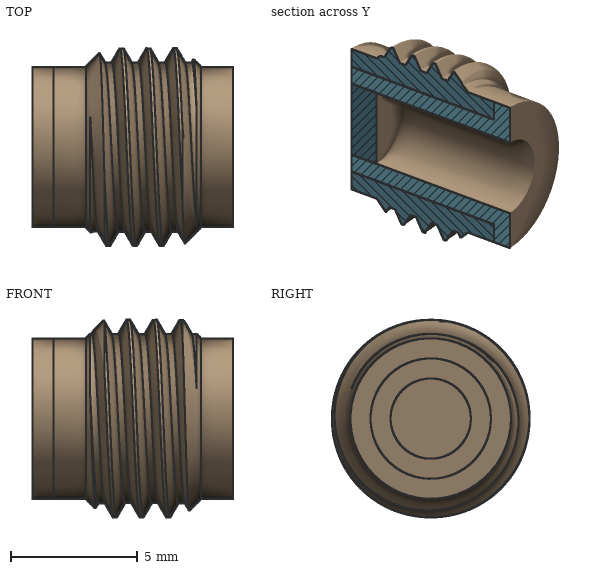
import cadquery as cq
import math

total_length = 7.94
collar_radius = 3.175
bore_radius = 1.59

flange_length = 0.825
sleeve_radius = 2.38

plug_length = 1.27

thread_start = 2.11
thread_end = 6.67
root_radius = 3.35
crest_diameter = 7.82
crest_radius = crest_diameter / 2
pitch = 1.055
crest_width = pitch / 8
flank_half_angle = math.radians(30)
reference_crest = 3.26
lead_in_turns = 2
thread_turns = 6
root_overlap = 0.08
crest_clearance = 0.08


def axial_cylinder(radius, start, end):
    """Cylinder about the X axis between two x positions."""
    return cq.Workplane("YZ").workplane(offset=start).circle(radius).extrude(end - start)


def threaded_envelope():
    """Collars and 45 degree cones that bound the threaded body, left open outside the crests."""
    outer_radius = crest_radius + crest_clearance
    rise = outer_radius - collar_radius
    return (
        cq.Workplane("XY")
        .moveTo(flange_length, 0)
        .lineTo(flange_length, collar_radius)
        .lineTo(thread_start, collar_radius)
        .lineTo(thread_start + rise, outer_radius)
        .lineTo(thread_end - rise, outer_radius)
        .lineTo(thread_end, collar_radius)
        .lineTo(total_length, collar_radius)
        .lineTo(total_length, 0)
        .close()
        .revolve(360, (0, 0, 0), (1, 0, 0))
    )


def thread_ridge():
    """Right-handed ridge, swept about Z, then turned so that it winds about X."""
    base_radius = root_radius - root_overlap
    half_crest = crest_width / 2
    half_base = half_crest + (crest_radius - base_radius) * math.tan(flank_half_angle)
    helix = cq.Wire.makeHelix(pitch, thread_turns * pitch, base_radius)
    ridge = (
        cq.Workplane("XZ")
        .polyline([
            (base_radius, -half_base),
            (crest_radius, -half_crest),
            (crest_radius, half_crest),
            (base_radius, half_base),
        ])
        .close()
        .sweep(cq.Workplane(obj=helix), isFrenet=True)
    )
    ridge_start = reference_crest - lead_in_turns * pitch
    return ridge.rotate((0, 0, 0), (0, 1, 0), 90).translate((ridge_start, 0, 0))


def make_bushing():
    """Full-width flange on a sleeve, bored right through."""
    flange = axial_cylinder(collar_radius, 0, flange_length)
    sleeve = axial_cylinder(sleeve_radius, 0, total_length)
    return flange.union(sleeve).cut(axial_cylinder(bore_radius, 0, total_length))


def make_threaded_body():
    """Threaded middle between two plain collars, bored to fit the sleeve."""
    return (
        axial_cylinder(root_radius, 0, total_length)
        .union(thread_ridge())
        .intersect(threaded_envelope())
        .cut(axial_cylinder(sleeve_radius, 0, total_length))
    )


def make_plug():
    """Plain disc that closes the far end of the bore."""
    return axial_cylinder(bore_radius, total_length - plug_length, total_length)


bushing = make_bushing()
threaded_body = make_threaded_body()
plug = make_plug()

result = cq.Compound.makeCompound([bushing.val(), threaded_body.solids().val(), plug.val()])